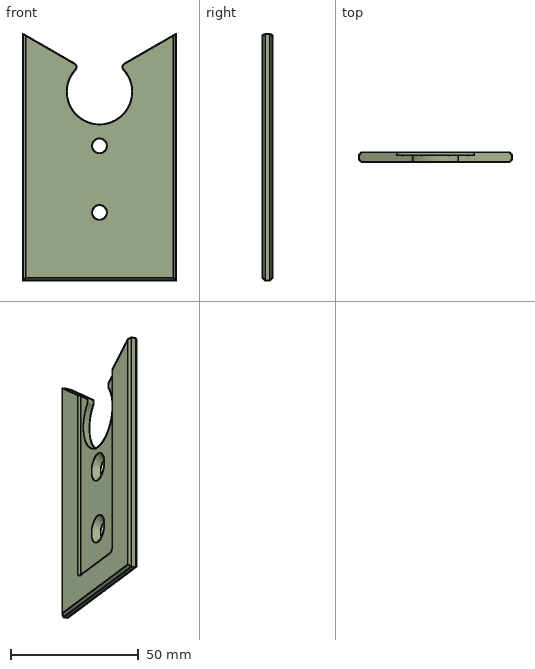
import cadquery as cq
import math

width = 60.0
thickness = 4.0
height = 96.6
edge_chamfer = 1.1
front_y = -thickness / 2
back_y = thickness / 2

mouth_slope = math.tan(math.radians(30))
mouth_apex_z = height - width / 2 * mouth_slope

seat_z = 73.9
seat_radius = 12.8
seat_lip_radius = 1.5

hole_diameter = 5.7
hole_heights = (26.7, 52.8)

recess_width = 30.4
recess_depth = 1.3
recess_corner_radius = 2.0
recess_bottom_z = min(hole_heights) - recess_width / 2


def make_plate():
    """Upright plate, chamfered on both faces along its long sides and its bottom."""
    plate = cq.Workplane("XY").box(width, thickness, height, centered=(True, True, False))
    return plate.edges("|Z or (|X and (not >Z))").chamfer(edge_chamfer)


def make_mouth_and_seat():
    """Cutter for the V mouth and the round seat, with rounded lips between them."""
    plane = cq.Workplane("XZ", origin=(0, front_y, 0))
    reach = width
    reach_z = mouth_apex_z + reach * mouth_slope
    mouth = (
        plane.polyline([(0, mouth_apex_z), (reach, reach_z), (-reach, reach_z)])
        .close()
        .extrude(-thickness)
    )
    seat = plane.center(0, seat_z).circle(seat_radius).extrude(-thickness)
    cutter = mouth.union(seat)

    apex_rise = mouth_apex_z - seat_z
    square_term = 1 + mouth_slope**2
    half_linear_term = mouth_slope * apex_rise
    root = math.sqrt(half_linear_term**2 - square_term * (apex_rise**2 - seat_radius**2))
    lip_x = (root - half_linear_term) / square_term
    lip_z = mouth_apex_z + lip_x * mouth_slope
    for side in (-1, 1):
        lip = (side * lip_x, 0, lip_z)
        cutter = cutter.edges(cq.NearestToPointSelector(lip)).fillet(seat_lip_radius)
    return cutter


def make_recess():
    """Cutter for the back recess, running up through the top of the plate."""
    return (
        cq.Workplane("XY", origin=(0, back_y - recess_depth, recess_bottom_z))
        .box(recess_width, recess_depth, height, centered=(True, False, False))
        .edges("|Y and <Z")
        .fillet(recess_corner_radius)
    )


def make_screw_hole(z):
    """Cutter for one 90 degree countersunk hole, narrowest at the front face."""
    back_diameter = hole_diameter + 2 * thickness
    return (
        cq.Workplane("XZ", origin=(0, front_y, z))
        .circle(hole_diameter / 2)
        .workplane(offset=-thickness)
        .circle(back_diameter / 2)
        .loft(ruled=True)
    )


result = make_plate().cut(make_mouth_and_seat()).cut(make_recess())
for hole_z in hole_heights:
    result = result.cut(make_screw_hole(hole_z))